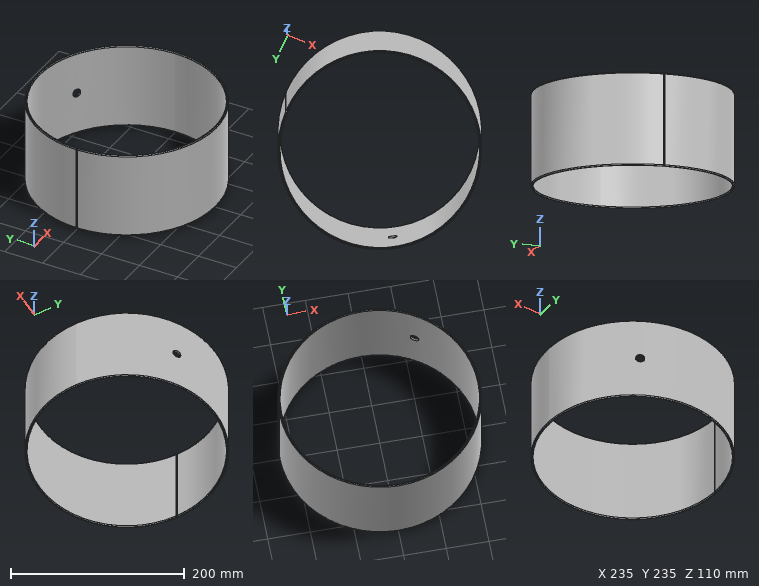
import cadquery as cq

outer_diameter = 235.0
height = 110.0
wall = 2.5
taper_height = 1.5
taper_width = 0.82
slit_width = 1.9
hole_diameter = 10.0
hole_angle = 59.0

outer_radius = outer_diameter / 2
inner_radius = outer_radius - wall


def make_ring():
    """Tube centred on the origin, its wall section tapered at both rims and revolved around Z."""
    half_height = height / 2
    shoulder = half_height - taper_height
    section = [
        (inner_radius, -shoulder),
        (inner_radius + taper_width, -half_height),
        (outer_radius - taper_width, -half_height),
        (outer_radius, -shoulder),
        (outer_radius, shoulder),
        (outer_radius - taper_width, half_height),
        (inner_radius + taper_width, half_height),
        (inner_radius, shoulder),
    ]
    return cq.Workplane("XZ").polyline(section).close().revolve(360, (0, 0), (0, 1))


def make_slit():
    """Full-height cutter that opens the wall on the -X side."""
    slit_depth = 4 * wall
    return (
        cq.Workplane("XY")
        .box(slit_depth, slit_width, height)
        .translate((-outer_radius, slit_width / 2, 0))
    )


def make_hole():
    """Radial cutter for the round hole at mid-height of the wall."""
    drill = cq.Workplane("YZ").circle(hole_diameter / 2).extrude(outer_diameter)
    return drill.rotate((0, 0, 0), (0, 0, 1), hole_angle)


result = make_ring().cut(make_slit()).cut(make_hole())